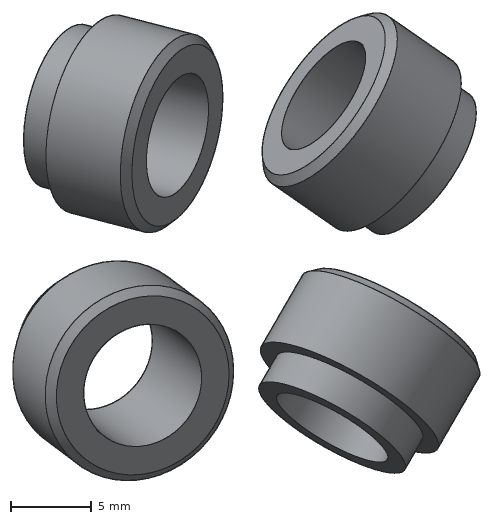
import cadquery as cq

body_diameter = 12.7
pilot_diameter = 10.46
bore_diameter = 7.94
total_length = 8.05
pilot_length = 2.22
chamfer_size = 0.53

body_length = total_length - pilot_length

pilot = cq.Workplane("YZ").circle(pilot_diameter / 2).extrude(pilot_length)

body = (
    cq.Workplane("YZ")
    .workplane(offset=pilot_length)
    .circle(body_diameter / 2)
    .extrude(body_length)
    .faces(">X")
    .chamfer(chamfer_size)
)

bore = cq.Workplane("YZ").circle(bore_diameter / 2).extrude(total_length)

result = pilot.union(body).cut(bore)